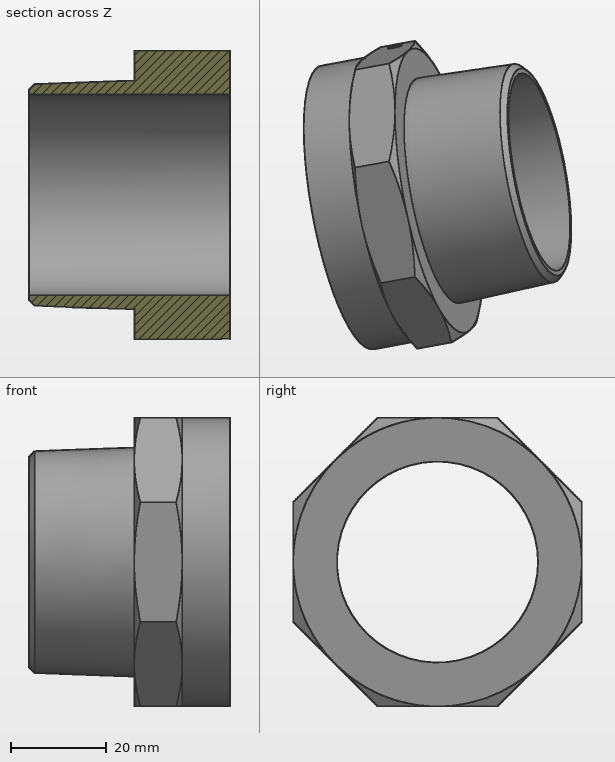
import cadquery as cq
import math

across_flats = 60.3
bore_diameter = 41.9
hex_width = 10.0
collar_length = 10.0
total_length = 42.0
hex_start = total_length - collar_length - hex_width
hex_end = hex_start + hex_width

root_diameter = 47.8
tip_diameter = 46.4
land_length = 1.0
tip_chamfer = 1.2

bevel_angle = 27.0

dimple_diameter = 3.0
dimple_depth = 0.3
dimple_offset = 9.4
flat_tilt = 45.0


def make_spigot():
    """Tapered, chamfered spigot with a short straight land at its root."""
    root_radius = root_diameter / 2
    taper_end = hex_start - land_length
    tip_radius = tip_diameter / 2
    return (
        cq.Workplane("XY")
        .polyline(
            [
                (0, 0),
                (0, tip_radius - tip_chamfer),
                (tip_chamfer, tip_radius),
                (taper_end, root_radius),
                (hex_start, root_radius),
                (hex_start, 0),
            ]
        )
        .close()
        .revolve(360, (0, 0, 0), (1, 0, 0))
    )


def make_octagon():
    """Octagonal wrench section with conical bevels at both ends."""
    flat_half_angle = math.radians(flat_tilt / 2)
    corner_radius = across_flats / 2 / math.cos(flat_half_angle)
    bevel_height = corner_radius - across_flats / 2
    bevel_length = bevel_height * math.tan(math.radians(bevel_angle))
    prism = (
        cq.Workplane("YZ", origin=(hex_start, 0, 0))
        .transformed(rotate=(0, 0, flat_tilt / 2))
        .polygon(8, 2 * corner_radius)
        .extrude(hex_width)
    )
    bevel_envelope = (
        cq.Workplane("XY")
        .polyline(
            [
                (hex_start, 0),
                (hex_start, across_flats / 2),
                (hex_start + bevel_length, corner_radius),
                (hex_end - bevel_length, corner_radius),
                (hex_end, across_flats / 2),
                (hex_end, 0),
            ]
        )
        .close()
        .revolve(360, (0, 0, 0), (1, 0, 0))
    )
    return prism.intersect(bevel_envelope)


def make_collar():
    """Plain round collar as wide as the octagon flats."""
    return (
        cq.Workplane("YZ", origin=(hex_end, 0, 0))
        .circle(across_flats / 2)
        .extrude(collar_length)
    )


def make_dimple():
    """Shallow cylinder cut into a flat, placed on the top flat then tilted to the +Y one."""
    return (
        cq.Workplane("XY", origin=(0, 0, across_flats / 2))
        .center((hex_start + hex_end) / 2, -dimple_offset)
        .circle(dimple_diameter / 2)
        .extrude(-dimple_depth)
        .rotate((0, 0, 0), (1, 0, 0), -flat_tilt)
    )


bore = cq.Workplane("YZ").circle(bore_diameter / 2).extrude(total_length)

result = make_spigot().union(make_octagon()).union(make_collar()).cut(bore).cut(make_dimple())